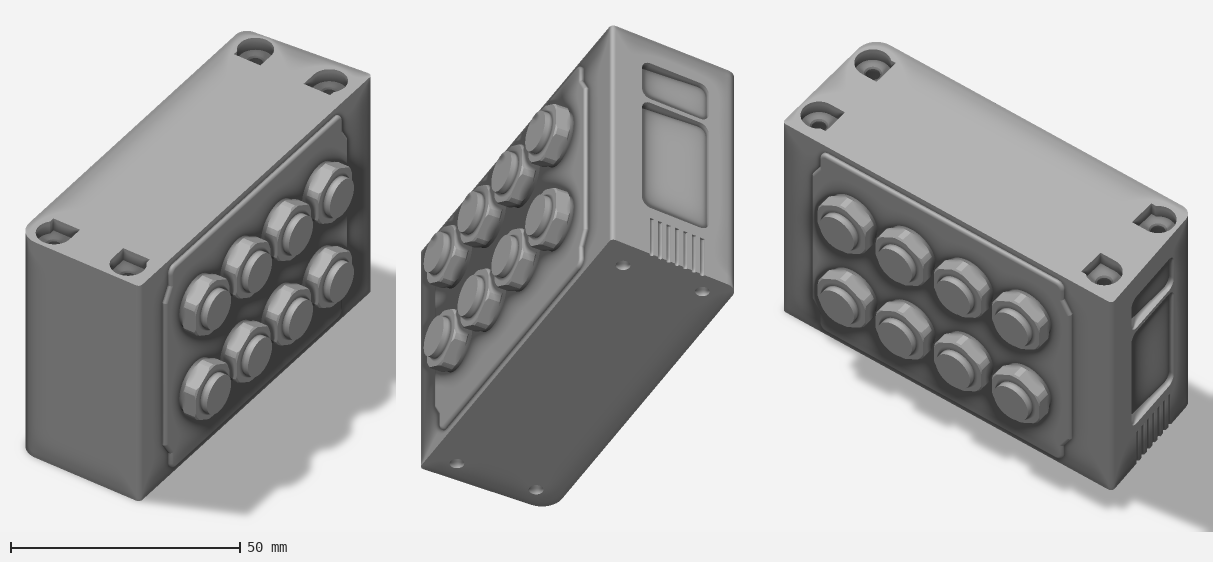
import cadquery as cq
import math

BODY_WIDTH = 32.6
BODY_LENGTH = 90.0
BODY_HEIGHT = 60.0
REAR_SLOPE = 4.4
FRONT_LEFT_RADIUS = 4.95
REAR_LEFT_RADIUS = 3.0
RIGHT_RADIUS = 1.0

HOLE_DIAMETER = 3.2
HOLE_CHAMFER = 0.4
HOLE_INSET_X = 6.5
HOLE_SPACING_X = 19.5
HOLE_INSET_Y = 5.1
HOLE_SPACING_Y = 77.9
RECESS_RADIUS = 4.05
RECESS_NOTCH = 3.0
RECESS_DEPTH = 3.3

POCKET_WIDTH = 17.1
POCKET_CENTRE_X = 16.2
POCKET_FLOOR_Y = 86.9
POCKET_RADIUS = 2.2
SHORT_POCKET_BOTTOM = 43.4
SHORT_POCKET_TOP = 53.4
LONG_POCKET_BOTTOM = 12.9
LONG_POCKET_TOP = 42.3
GROOVE_CENTRE_X = 15.75
GROOVE_DIAMETER = 1.1
GROOVE_PITCH = 2.2
GROOVE_COUNT = 7
GROOVE_HEIGHT = 10.1

PLATE_THICKNESS = 1.0
PLATE_EDGE_RADIUS = 0.7
PLATE_CENTRE_Y = 44.0
PLATE_CENTRE_Z = BODY_HEIGHT / 2
PLATE_LENGTH = 66.3
PLATE_HEIGHT = 56.35
PLATE_CORNER_RADIUS = 1.9
PLATE_FULL_LENGTH = 70.6
LUG_ROOT_HEIGHT = 46.6
LUG_TIP_HEIGHT = 39.6

CONNECTOR_COLUMNS = 4
COLUMN_PITCH = 15.8
ROW_HEIGHTS = (19.9, 43.4)
COLLAR_DIAMETER = 13.0
COLLAR_LENGTH = 0.9
NUT_FLATS = 13.0
NUT_CORNER_DIAMETER = 14.2
NUT_LENGTH = 3.5
NUT_CHAMFER = 0.4
STUB_DIAMETER = 9.4
STUB_LENGTH = 1.7

REAR_RISE = math.tan(math.radians(REAR_SLOPE))
REAR_LEFT_Y = BODY_LENGTH - (BODY_WIDTH - RIGHT_RADIUS) * REAR_RISE
REAR_RIGHT_Y = REAR_LEFT_Y + BODY_WIDTH * REAR_RISE


def make_body():
    corners = [(0, 0), (BODY_WIDTH, 0), (BODY_WIDTH, REAR_RIGHT_Y), (0, REAR_LEFT_Y)]
    body = cq.Workplane("XY").polyline(corners).close().extrude(BODY_HEIGHT)
    body = body.edges("|Z and >X").fillet(RIGHT_RADIUS)
    body = body.edges("|Z and <X and <Y").fillet(FRONT_LEFT_RADIUS)
    return body.edges("|Z and <X").edges(">Y").fillet(REAR_LEFT_RADIUS)


def mounting_cutter(x, y, side_x, side_y):
    """Recess with one square end, and the chamfered through hole below it.

    side_x and side_y are +1 or -1 and point from the hole towards the middle of the top face.
    """
    floor = BODY_HEIGHT - RECESS_DEPTH
    square_width = RECESS_RADIUS + RECESS_NOTCH
    square_x = side_x * (RECESS_RADIUS - RECESS_NOTCH) / 2
    base = cq.Workplane("XY", origin=(x, y, floor))
    recess = base.circle(RECESS_RADIUS).extrude(RECESS_DEPTH)
    square_end = (
        base.center(square_x, side_y * RECESS_RADIUS / 2)
        .rect(square_width, RECESS_RADIUS)
        .extrude(RECESS_DEPTH)
    )
    hole = base.circle(HOLE_DIAMETER / 2).extrude(-floor)
    chamfer = (
        base.circle(HOLE_DIAMETER / 2 + HOLE_CHAMFER)
        .workplane(offset=-HOLE_CHAMFER)
        .circle(HOLE_DIAMETER / 2)
        .loft()
    )
    return recess.union(square_end).union(hole).union(chamfer)


def rear_pocket(bottom, top):
    """Pocket square to the body axes, so it is deepest where the sloped face stands highest."""
    length = BODY_LENGTH - POCKET_FLOOR_Y
    return (
        cq.Workplane("XY")
        .box(POCKET_WIDTH, length, top - bottom)
        .edges("|Y")
        .fillet(POCKET_RADIUS)
        .translate((POCKET_CENTRE_X, POCKET_FLOOR_Y + length / 2, (bottom + top) / 2))
    )


def grip_grooves():
    """Row of half-round grooves centred on the sloped face and open at the bottom."""
    grooves = cq.Workplane("XY")
    for i in range(GROOVE_COUNT):
        x = GROOVE_CENTRE_X + GROOVE_PITCH * (i - (GROOVE_COUNT - 1) / 2)
        y = REAR_LEFT_Y + x * REAR_RISE
        grooves = grooves.moveTo(x, y).circle(GROOVE_DIAMETER / 2)
    return grooves.extrude(GROOVE_HEIGHT)


def connector_plate():
    face = cq.Workplane("YZ", origin=(BODY_WIDTH, PLATE_CENTRE_Y, PLATE_CENTRE_Z))
    panel = (
        face.rect(PLATE_LENGTH, PLATE_HEIGHT)
        .extrude(PLATE_THICKNESS)
        .edges("|X")
        .fillet(PLATE_CORNER_RADIUS)
    )
    root_y, root_z = PLATE_LENGTH / 2, LUG_ROOT_HEIGHT / 2
    tip_y, tip_z = PLATE_FULL_LENGTH / 2, LUG_TIP_HEIGHT / 2
    right_end = [(root_y, -root_z), (tip_y, -tip_z), (tip_y, tip_z), (root_y, root_z)]
    left_end = [(-y, -z) for y, z in right_end]
    lugs = face.polyline(right_end + left_end).close().extrude(PLATE_THICKNESS)
    return panel.union(lugs).faces(">X").edges().fillet(PLATE_EDGE_RADIUS)


def connector(y, z):
    """Round collar, hexagon nut with flats towards +Y and -Y, and a round stub."""
    base = cq.Workplane("YZ", origin=(BODY_WIDTH + PLATE_THICKNESS, y, z))
    collar = base.circle(COLLAR_DIAMETER / 2).extrude(COLLAR_LENGTH)
    nut_base = base.workplane(offset=COLLAR_LENGTH)
    hexagon = nut_base.polygon(6, NUT_FLATS, circumscribed=True).extrude(NUT_LENGTH)
    turned_blank = nut_base.circle(NUT_CORNER_DIAMETER / 2).extrude(NUT_LENGTH)
    turned_blank = turned_blank.edges().chamfer(NUT_CHAMFER)
    nut = hexagon.intersect(turned_blank)
    stub = nut_base.workplane(offset=NUT_LENGTH).circle(STUB_DIAMETER / 2).extrude(STUB_LENGTH)
    return collar.union(nut).union(stub)


result = make_body()

for side_x in (1, -1):
    for side_y in (1, -1):
        hole_x = HOLE_INSET_X + HOLE_SPACING_X * (1 - side_x) / 2
        hole_y = HOLE_INSET_Y + HOLE_SPACING_Y * (1 - side_y) / 2
        result = result.cut(mounting_cutter(hole_x, hole_y, side_x, side_y))

result = result.cut(rear_pocket(SHORT_POCKET_BOTTOM, SHORT_POCKET_TOP))
result = result.cut(rear_pocket(LONG_POCKET_BOTTOM, LONG_POCKET_TOP))
result = result.cut(grip_grooves())

result = result.union(connector_plate())
for column in range(CONNECTOR_COLUMNS):
    connector_y = PLATE_CENTRE_Y + COLUMN_PITCH * (column - (CONNECTOR_COLUMNS - 1) / 2)
    for connector_z in ROW_HEIGHTS:
        result = result.union(connector(connector_y, connector_z))